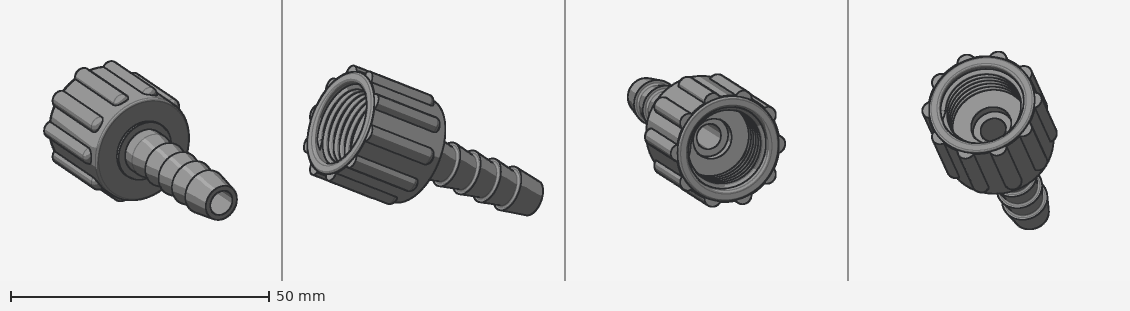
import cadquery as cq
import math

total_length = 47.2

nut_length = 18.05
nut_radius = 10.6
rim_length = 0.45
rim_radius = 10.45
rim_outer_fillet = 0.42
rear_fillet = 0.45
thread_root_radius = 8.25
mouth_fillet = 0.55
wall_thickness = 2.85

rib_count = 10
rib_tip_radius = 11.8
rib_radius = 1.75
rib_end = 16.15
rib_end_fillet = 1.27

thread_height = 0.9
thread_pitch = 1.335
thread_base_width = 1.2
thread_crest_width = 0.42
thread_crest_rise = 0.15
thread_start = 1.55
thread_turns = 6
thread_embed = 0.15
runout_angle = 13.5
runout_tip_width = 0.05
runout_tip_height = 0.05
runout_tip_rise = 0.025

gasket_face = 9.25
gasket_thickness = 2.0
gasket_hole_radius = 3.95

bore_radius = 2.5
collar_radius = 5.95
collar_end = 18.7
barb_radius = 4.5
barb_root_radius = 3.6
barb_tip_radius = 3.55
shank_end = 21.2
barb_pitch = 4.98
barb_count = 4
barb_root_fillet = 0.4

wall_start = nut_length - wall_thickness
flange_start = gasket_face + gasket_thickness


def disc(start, end, radius):
    """Cylinder on the X axis between two X positions."""
    return cq.Workplane("YZ", origin=(start, 0, 0)).circle(radius).extrude(end - start)


def ridge_section(angle, crest_height, base_width, crest_width, crest_rise):
    """Round-crested section of the thread ridge at an angle about Z, for a thread along Z."""
    turn = math.radians(angle)
    middle = thread_start + thread_pitch * angle / 360

    def point(height, offset):
        radius = thread_root_radius - height
        return cq.Vector(radius * math.cos(turn), radius * math.sin(turn), middle + offset)

    flank_height = crest_height - crest_rise
    lower_crest = point(flank_height, -crest_width / 2)
    upper_crest = point(flank_height, crest_width / 2)
    lower_base = point(-thread_embed, -base_width / 2)
    upper_base = point(-thread_embed, base_width / 2)
    return cq.Wire.assembleEdges(
        [
            cq.Edge.makeLine(lower_base, lower_crest),
            cq.Edge.makeThreePointArc(lower_crest, point(crest_height, 0), upper_crest),
            cq.Edge.makeLine(upper_crest, upper_base),
            cq.Edge.makeLine(upper_base, lower_base),
        ]
    )


def make_thread():
    """Right-handed ridge that starts on the +Y side and fades into the wall at its front end."""
    start_section = ridge_section(
        0, thread_height, thread_base_width, thread_crest_width, thread_crest_rise
    )
    tip_section = ridge_section(
        -runout_angle, runout_tip_height, runout_tip_width, runout_tip_width, runout_tip_rise
    )
    path = cq.Wire.makeHelix(
        thread_pitch, thread_pitch * thread_turns, thread_root_radius, center=cq.Vector(0, 0, thread_start)
    )
    ridge = cq.Solid.sweep(start_section, [], path, makeSolid=True, isFrenet=True)
    runout = cq.Solid.makeLoft([tip_section, start_section], True)
    thread = cq.Workplane(ridge).union(cq.Workplane(runout))
    return thread.rotate((0, 0, 0), (0, 0, 1), 90).rotate((0, 0, 0), (0, 1, 0), 90)


def make_rib():
    """Round grip rib on the +Y side with a rounded rear end."""
    rib = disc(rim_length, rib_end, rib_radius).faces(">X").edges().fillet(rib_end_fillet)
    return rib.translate((0, rib_tip_radius - rib_radius, 0))


def make_nut():
    rim = disc(0, rim_length, rim_radius).faces("<X").edges().fillet(rim_outer_fillet)
    nut = disc(rim_length, nut_length, nut_radius).faces(">X").edges().fillet(rear_fillet).union(rim)
    for i in range(rib_count):
        nut = nut.union(make_rib().rotate((0, 0, 0), (1, 0, 0), 360 * i / rib_count))
    nut = nut.cut(disc(0, wall_start, thread_root_radius))
    nut = nut.faces("<X").edges("%CIRCLE").edges(cq.selectors.RadiusNthSelector(0)).fillet(mouth_fillet)
    nut = nut.cut(disc(wall_start, nut_length, collar_radius))
    thread = make_thread().cut(disc(gasket_face, wall_start, nut_radius))
    return nut.union(thread)


def make_gasket():
    outside = disc(gasket_face, flange_start, thread_root_radius)
    return outside.cut(disc(gasket_face, flange_start, gasket_hole_radius))


def make_tail():
    """Revolved tail: flange held in the nut, collar through the nut wall, shank and hose barbs."""
    profile = (
        cq.Workplane("XZ")
        .moveTo(flange_start, bore_radius)
        .lineTo(flange_start, thread_root_radius)
        .lineTo(wall_start, thread_root_radius)
        .lineTo(wall_start, collar_radius)
        .lineTo(collar_end, collar_radius)
        .lineTo(collar_end, barb_radius)
        .lineTo(shank_end, barb_radius)
    )
    arc_inset = barb_root_fillet * (1 - math.sqrt(0.5))
    for i in range(barb_count):
        step = shank_end + (i + 1) * barb_pitch
        profile = (
            profile.lineTo(step - barb_root_fillet, barb_root_radius)
            .threePointArc(
                (step - arc_inset, barb_root_radius + arc_inset), (step, barb_root_radius + barb_root_fillet)
            )
            .lineTo(step, barb_radius)
        )
    profile = profile.lineTo(total_length, barb_tip_radius).lineTo(total_length, bore_radius).close()
    return profile.revolve(360, (0, 0, 0), (1, 0, 0))


nut = make_nut()
gasket = make_gasket()
tail = make_tail()

result = cq.Compound.makeCompound([nut.val(), gasket.val(), tail.val()])